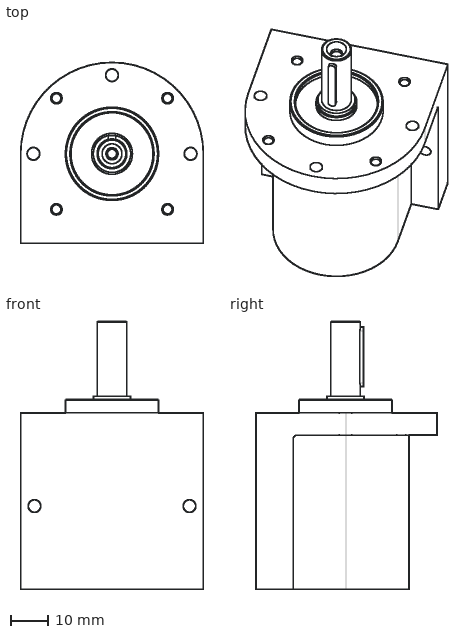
import cadquery as cq
import math

width = 49.0
half_width = width / 2
front_y = -24.0
body_height = 47.25
flange_thickness = 5.95
flange_bottom = body_height - flange_thickness
block_back_y = -14.0
can_radius = 17.0
corner_radius = 1.0

boss_diameter = 25.0
boss_top = 50.9
boss_chamfer = 0.3
recess_diameter = 22.0
recess_depth = 1.45
recess_chamfer = 0.3
recess_floor = boss_top - recess_depth

shaft_diameter = 8.0
shaft_top = 71.8
shaft_chamfer = 0.3
collar_diameter = 10.0
collar_top = 51.8
collar_base_diameter = 11.0
collar_base_top = 50.6

center_mouth_diameter = 5.3
center_bore_diameter = 3.2
center_thread_diameter = 3.0
center_drill_diameter = 2.45
center_cone_angle = 60
center_bore_depth = 2.6
center_thread_depth = 6.45
center_drill_depth = 9.0
drill_point_angle = 118

bolt_circle_radius = 21.05
clearance_diameter = 3.3
tapped_diameter = 2.45
tapped_mouth_diameter = 3.0
tapped_mouth_angle = 60
tapped_depth = 7.9
block_hole_x = 20.75
block_hole_z = 22.3

key_width = 2.0
key_length = 16.0
key_height = 2.0
key_outer_y = 4.8
key_top = 70.3


def cylinder(diameter, bottom, top):
    """Solid cylinder on the Z axis between two heights."""
    return cq.Workplane("XY").workplane(offset=bottom).circle(diameter / 2).extrude(top - bottom)


def cone_length(large_diameter, small_diameter, included_angle):
    """Axial length of a cone between two diameters."""
    return (large_diameter - small_diameter) / 2 / math.tan(math.radians(included_angle / 2))


def make_flange_and_block():
    outline = (
        cq.Workplane("XY")
        .moveTo(-half_width, front_y)
        .lineTo(half_width, front_y)
        .lineTo(half_width, 0)
        .threePointArc((0, half_width), (-half_width, 0))
        .close()
        .extrude(body_height)
    )
    space_depth = half_width - block_back_y
    space_behind_block = (
        cq.Workplane("XY")
        .box(width, space_depth, flange_bottom, centered=(True, False, False))
        .translate((0, block_back_y, 0))
        .edges("<Y and >Z")
        .fillet(corner_radius)
    )
    return outline.cut(space_behind_block)


def make_motor_can():
    return (
        cq.Workplane("XY")
        .moveTo(-can_radius, block_back_y)
        .lineTo(can_radius, block_back_y)
        .lineTo(can_radius, 0)
        .threePointArc((0, can_radius), (-can_radius, 0))
        .close()
        .extrude(flange_bottom)
    )


def make_boss():
    boss = cylinder(boss_diameter, body_height, boss_top).faces(">Z").edges().chamfer(boss_chamfer)
    boss = boss.cut(cylinder(recess_diameter, recess_floor, boss_top))
    return boss.faces(">Z").edges("%CIRCLE").edges(cq.selectors.RadiusNthSelector(0)).chamfer(recess_chamfer)


def make_shaft():
    shaft = cylinder(shaft_diameter, recess_floor, shaft_top).faces(">Z").edges().chamfer(shaft_chamfer)
    collar = cylinder(collar_diameter, recess_floor, collar_top)
    collar_base = cylinder(collar_base_diameter, recess_floor, collar_base_top)
    return shaft.union(collar).union(collar_base).cut(make_center_hole())


def make_center_hole():
    """Stepped, countersunk hole as a solid to be cut from the shaft end."""
    mouth_length = cone_length(center_mouth_diameter, center_bore_diameter, center_cone_angle)
    point_length = cone_length(center_drill_diameter, 0, drill_point_angle)
    drill_bottom = shaft_top - center_drill_depth
    return (
        cq.Workplane("XZ")
        .moveTo(0, shaft_top)
        .lineTo(center_mouth_diameter / 2, shaft_top)
        .lineTo(center_bore_diameter / 2, shaft_top - mouth_length)
        .lineTo(center_bore_diameter / 2, shaft_top - center_bore_depth)
        .lineTo(center_thread_diameter / 2, shaft_top - center_bore_depth)
        .lineTo(center_thread_diameter / 2, shaft_top - center_thread_depth)
        .lineTo(center_drill_diameter / 2, shaft_top - center_thread_depth)
        .lineTo(center_drill_diameter / 2, drill_bottom)
        .lineTo(0, drill_bottom - point_length)
        .close()
        .revolve(360, (0, 0, 0), (0, 1, 0))
    )


def make_tapped_hole():
    """Blind drilled hole with a countersunk mouth, on the Z axis, to be cut from the flange top."""
    mouth_length = cone_length(tapped_mouth_diameter, tapped_diameter, tapped_mouth_angle)
    point_length = cone_length(tapped_diameter, 0, drill_point_angle)
    drill_bottom = body_height - tapped_depth
    return (
        cq.Workplane("XZ")
        .moveTo(0, body_height)
        .lineTo(tapped_mouth_diameter / 2, body_height)
        .lineTo(tapped_diameter / 2, body_height - mouth_length)
        .lineTo(tapped_diameter / 2, drill_bottom)
        .lineTo(0, drill_bottom - point_length)
        .close()
        .revolve(360, (0, 0, 0), (0, 1, 0))
    )


def bolt_circle_point(angle):
    return (
        bolt_circle_radius * math.cos(math.radians(angle)),
        bolt_circle_radius * math.sin(math.radians(angle)),
    )


def make_housing():
    """Gear motor: block, flange, can, boss and shaft, with all holes and the keyway."""
    housing = make_flange_and_block().union(make_motor_can()).union(make_boss()).union(make_shaft())

    for angle in (0, 90, 180):
        x, y = bolt_circle_point(angle)
        hole = cylinder(clearance_diameter, flange_bottom, body_height)
        housing = housing.cut(hole.translate((x, y, 0)))

    for angle in (45, 135, 225, 315):
        x, y = bolt_circle_point(angle)
        housing = housing.cut(make_tapped_hole().translate((x, y, 0)))

    for x in (-block_hole_x, block_hole_x):
        hole = (
            cq.Workplane("XZ", origin=(x, front_y, block_hole_z))
            .circle(clearance_diameter / 2)
            .extrude(front_y - block_back_y)
        )
        housing = housing.cut(hole)

    return housing.cut(make_key())


def make_key():
    """Round-ended key sunk into the back of the shaft."""
    return (
        cq.Workplane("XZ", origin=(0, key_outer_y, key_top - key_length / 2))
        .slot2D(key_length, key_width, 90)
        .extrude(key_height)
    )


housing = make_housing()
key = make_key()
result = cq.Compound.makeCompound([housing.val(), key.val()])